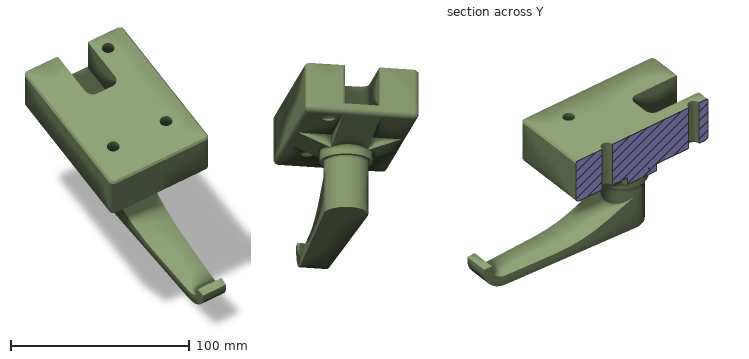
import cadquery as cq
import math

overall_length = 152.5
overall_height = 72.0
block_length = 95.0
block_width = 65.0
block_height = 29
block_bottom = overall_height - block_height
block_round = 2.9
edge_chamfer = 1.0

slot_length = 35
slot_width = 19.8
slot_depth = 23.0
slot_corner_radius = 5.0

hole_diameter = 7.2
hole_left_x = 10.4
hole_right_x = 72.3
hole_offset_y = 17.4

post_x = block_length / 2
post_radius = 12.5
collar_radius = 14.8
collar_bottom = 31.0

rib_width = 21.4
rib_root_inset = block_round
long_rib_drop = 6.4
side_rib_drop = 6.0

lever_root_height = 22.9
lever_slope = math.radians(24.7)
bar_thickness = 6.4
bar_start_x = 103.1
tip_half_width = 7.6
tip_height = 17.0
tip_thickness = 5.5
tip_outer_radius = 15.0
tip_inner_radius = tip_outer_radius - tip_thickness


def make_block():
    block = (
        cq.Workplane("XY", origin=(post_x, 0, block_bottom))
        .box(block_length, block_width, block_height, centered=(True, True, False))
        .edges("|Z").fillet(block_round)
        .faces("<Z").edges().fillet(block_round)
        .faces(">Z").edges().chamfer(edge_chamfer)
    )
    slot = (
        cq.Workplane("XY", origin=(0, 0, overall_height - slot_depth))
        .box(slot_length, slot_width, slot_depth, centered=(False, True, False))
        .edges("|Z and >X").fillet(slot_corner_radius)
    )
    mouth_half = slot_width / 2 + edge_chamfer
    mouth = (
        cq.Workplane("XY", origin=(0, 0, overall_height - slot_depth))
        .polyline([
            (0, -mouth_half),
            (edge_chamfer, -slot_width / 2),
            (edge_chamfer, slot_width / 2),
            (0, mouth_half),
        ])
        .close()
        .extrude(slot_depth)
    )
    return block.cut(slot).cut(mouth)


def make_post():
    post = cq.Workplane("XY").center(post_x, 0).circle(post_radius).extrude(block_bottom)
    collar = (
        cq.Workplane("XY", origin=(post_x, 0, collar_bottom))
        .circle(collar_radius)
        .extrude(block_bottom - collar_bottom)
    )
    return post.union(collar)


def make_rib(block_half_size, collar_drop, direction):
    """Rib whose underside slopes from the block edge, through the collar surface, to the axis."""
    reach = block_half_size - rib_root_inset
    axis_drop = collar_drop * reach / (reach - collar_radius)
    return (
        cq.Workplane("XZ")
        .polyline([(0, 0), (reach, 0), (0, -axis_drop)])
        .close()
        .extrude(rib_width / 2, both=True)
        .rotate((0, 0, 0), (0, 0, 1), direction)
        .translate((post_x, 0, block_bottom))
    )


def make_lever():
    tip_reach = overall_length - post_x
    tip_direction = math.atan2(tip_half_width, tip_reach)
    tangent_angle = tip_direction + math.acos(post_radius / math.hypot(tip_reach, tip_half_width))
    root_x = post_x + post_radius * math.cos(tangent_angle)
    root_half_width = post_radius * math.sin(tangent_angle)

    slope_meets_bar_x = root_x + (lever_root_height - bar_thickness) / math.tan(lever_slope)
    tangent_length = bar_start_x - slope_meets_bar_x
    blend_start_x = slope_meets_bar_x - tangent_length * math.cos(lever_slope)
    blend_start_z = bar_thickness + tangent_length * math.sin(lever_slope)
    bend_x = overall_length - tip_outer_radius

    profile = (
        cq.Workplane("XZ")
        .moveTo(root_x, 0)
        .lineTo(bend_x, 0)
        .tangentArcPoint((overall_length, tip_outer_radius), relative=False)
        .lineTo(overall_length, tip_height)
        .lineTo(overall_length - tip_thickness, tip_height)
        .lineTo(overall_length - tip_thickness, bar_thickness + tip_inner_radius)
        .tangentArcPoint((bend_x, bar_thickness), relative=False)
        .lineTo(bar_start_x, bar_thickness)
        .tangentArcPoint((blend_start_x, blend_start_z), relative=False)
        .lineTo(root_x, lever_root_height)
        .close()
        .extrude(block_width / 2, both=True)
    )
    plan = (
        cq.Workplane("XY")
        .polyline([
            (root_x, -root_half_width),
            (overall_length, -tip_half_width),
            (overall_length, tip_half_width),
            (root_x, root_half_width),
        ])
        .close()
        .extrude(lever_root_height)
    )
    return profile.intersect(plan)


def make_holes():
    centres = [
        (hole_left_x, hole_offset_y),
        (hole_right_x, hole_offset_y),
        (hole_right_x, -hole_offset_y),
    ]
    return (
        cq.Workplane("XY", origin=(0, 0, block_bottom))
        .pushPoints(centres)
        .circle(hole_diameter / 2)
        .extrude(block_height)
    )


result = make_block().union(make_post()).union(make_lever())
for half_size, collar_drop, direction in [
    (block_length / 2, long_rib_drop, 180),
    (block_width / 2, side_rib_drop, 90),
    (block_width / 2, side_rib_drop, -90),
]:
    result = result.union(make_rib(half_size, collar_drop, direction))
result = result.cut(make_holes())